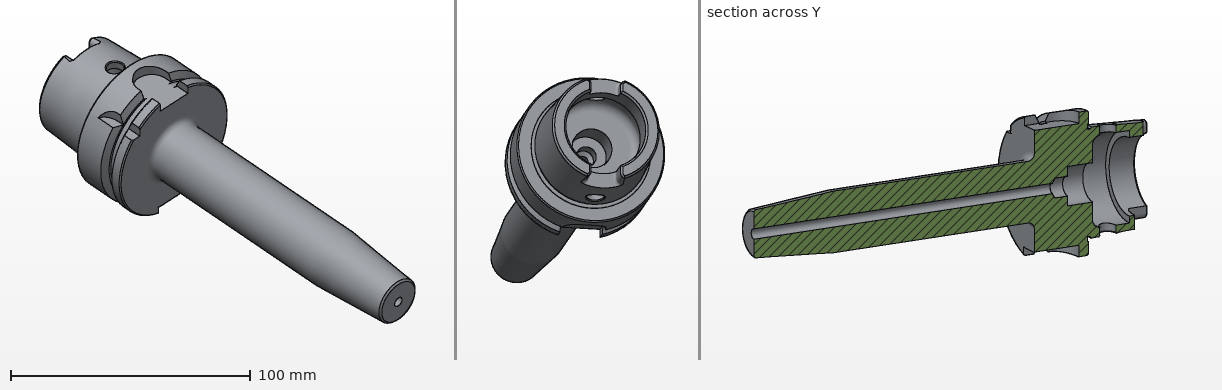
import cadquery as cq
import math


taper_length = 32.0
flange_width = 26.0
nose_end = 160.0

taper_ratio = 0.05
gauge_radius = 48.04 / 2
gauge_x = -6.3
taper_start = -2.4
tip_chamfer_length = 1.0
tip_chamfer_height = 0.8
relief_radius = 23.4
relief_start = -1.3
relief_slope_length = 0.5
face_relief_radius = 25.5
face_relief_depth = 0.3

flange_radius = 63.0 / 2
flange_chamfer = 0.6
groove_centre = 17.75
groove_top_half = 3.35
groove_floor_half = 1.6
groove_wall_radius = 28.3
groove_floor_radius = 27.3

shank_radius = 27.0 / 2
shank_fillet = 2.9
nose_start = 122.0
nose_tip_radius = 21.0 / 2
nose_tip_chamfer = 0.8

bore_radius = 34.0 / 2
bore_chamfer = 0.9
bore_depth = 12.6
cavity_radius = 40.0 / 2
cavity_floor = -2.0
cavity_floor_fillet = 4.0
seat_radius = 16.92 / 2
seat_depth = 12.0
pilot_radius = 8.4 / 2
pilot_depth = 6.0
coolant_radius = 4.3 / 2
drill_half_angle = math.radians(59)

access_hole_x = -9.2
access_hole_diameter = 7.5
access_hole_mouth = 8.4

drive_slot_width = 12.54
upper_slot_depth = 5.8
lower_slot_depth = 10.0
slot_floor_fillet = 1.3
slot_mouth_fillet = 2.3
slot_end_chamfer = 0.8
chamfer_angle = 45

upper_keyway_width = 16.0
lower_keyway_width = 18.0
keyway_end_x = 4.7
keyway_floor = 26.5
notch_offset = 20.0
notch_end_x = 4.7
notch_end_radius = 8.0


def taper_radius(x):
    """Radius of the hollow taper at station x."""
    return gauge_radius + taper_ratio * (x - gauge_x)


def turn_to_side(cutter, side):
    """Turn a cutter made on +Z about the axis; side is +1 for +Z and -1 for -Z."""
    return cutter.rotate((0, 0, 0), (1, 0, 0), 0 if side > 0 else 180)


def outer_body():
    """Revolved outside: taper, relief, grooved flange, shank and nose."""
    tip_chamfer_x = -taper_length + tip_chamfer_length
    nose_chamfer_x = nose_end - nose_tip_chamfer
    nose_slope = (shank_radius - nose_tip_radius) / (nose_end - nose_start)
    nose_chamfer_radius = nose_tip_radius + nose_slope * nose_tip_chamfer
    fillet_foot = flange_width + shank_fillet
    arc_offset = shank_fillet * math.sqrt(0.5)
    profile = (
        cq.Workplane("XY")
        .moveTo(-taper_length, 0)
        .lineTo(-taper_length, taper_radius(tip_chamfer_x) - tip_chamfer_height)
        .lineTo(tip_chamfer_x, taper_radius(tip_chamfer_x))
        .lineTo(taper_start, taper_radius(taper_start))
        .lineTo(relief_start, taper_radius(taper_start))
        .lineTo(relief_start + relief_slope_length, relief_radius)
        .lineTo(face_relief_depth, relief_radius)
        .lineTo(face_relief_depth, face_relief_radius)
        .lineTo(0, face_relief_radius)
        .lineTo(0, flange_radius - flange_chamfer)
        .lineTo(flange_chamfer, flange_radius)
        .lineTo(groove_centre - groove_top_half, flange_radius)
        .lineTo(groove_centre - groove_floor_half, groove_wall_radius)
        .lineTo(groove_centre - groove_floor_half, groove_floor_radius)
        .lineTo(groove_centre + groove_floor_half, groove_floor_radius)
        .lineTo(groove_centre + groove_floor_half, groove_wall_radius)
        .lineTo(groove_centre + groove_top_half, flange_radius)
        .lineTo(flange_width - flange_chamfer, flange_radius)
        .lineTo(flange_width, flange_radius - flange_chamfer)
        .lineTo(flange_width, shank_radius + shank_fillet)
        .threePointArc(
            (fillet_foot - arc_offset, shank_radius + shank_fillet - arc_offset),
            (fillet_foot, shank_radius),
        )
        .lineTo(nose_start, shank_radius)
        .lineTo(nose_chamfer_x, nose_chamfer_radius)
        .lineTo(nose_end, nose_tip_radius - nose_tip_chamfer)
        .lineTo(nose_end, 0)
        .close()
    )
    return profile.revolve(360, (0, 0, 0), (1, 0, 0))


def clamping_bore():
    """Stepped bore: mouth, undercut cavity, tube seat, pilot and coolant hole."""
    bore_end = -taper_length + bore_depth
    seat_end = cavity_floor + seat_depth
    pilot_end = seat_end + pilot_depth
    drill_tip = pilot_end + (pilot_radius - coolant_radius) / math.tan(drill_half_angle)
    arc_offset = cavity_floor_fillet * math.sqrt(0.5)
    arc_x = cavity_floor - cavity_floor_fillet
    arc_r = cavity_radius - cavity_floor_fillet
    profile = (
        cq.Workplane("XY")
        .moveTo(-taper_length, 0)
        .lineTo(-taper_length, bore_radius + bore_chamfer)
        .lineTo(-taper_length + bore_chamfer, bore_radius)
        .lineTo(bore_end, bore_radius)
        .lineTo(bore_end, cavity_radius)
        .lineTo(arc_x, cavity_radius)
        .threePointArc((arc_x + arc_offset, arc_r + arc_offset), (cavity_floor, arc_r))
        .lineTo(cavity_floor, seat_radius)
        .lineTo(seat_end, seat_radius)
        .lineTo(seat_end, pilot_radius)
        .lineTo(pilot_end, pilot_radius)
        .lineTo(drill_tip, coolant_radius)
        .lineTo(nose_end, coolant_radius)
        .lineTo(nose_end, 0)
        .close()
    )
    return profile.revolve(360, (0, 0, 0), (1, 0, 0))


def drive_slot(depth, side):
    """Slot across one taper wall, flared tangentially into the taper surface."""
    half_width = drive_slot_width / 2
    floor_x = -taper_length + depth
    surface = taper_radius(floor_x)

    arc_y = half_width + slot_mouth_fillet
    arc_z = math.sqrt((surface - slot_mouth_fillet) ** 2 - arc_y**2)
    to_surface = surface / (surface - slot_mouth_fillet)
    tangent = (arc_y * to_surface, arc_z * to_surface)

    bottom_z = bore_radius / 2
    top_z = flange_radius

    def section(x):
        return (
            cq.Workplane("YZ", origin=(x, 0, 0))
            .moveTo(-half_width, bottom_z)
            .lineTo(half_width, bottom_z)
            .lineTo(half_width, arc_z)
            .radiusArc(tangent, slot_mouth_fillet)
            .lineTo(tangent[0], top_z)
            .lineTo(-tangent[0], top_z)
            .lineTo(-tangent[0], tangent[1])
            .radiusArc((-half_width, arc_z), slot_mouth_fillet)
            .close()
        )

    slot = section(floor_x).extrude(-2 * depth).faces(">X").edges().fillet(slot_floor_fillet)
    chamfer_base = section(-taper_length + slot_end_chamfer)
    end_chamfer = chamfer_base.extrude(-2 * slot_end_chamfer, taper=-chamfer_angle)
    return turn_to_side(slot.union(end_chamfer), side)


def cross_hole():
    """Radial hole straight through both walls of the taper."""
    hole = cq.Workplane("XY").circle(access_hole_diameter / 2).extrude(flange_radius, both=True)
    return hole.translate((access_hole_x, 0, 0))


def chamfer_hole_mouths(body):
    """Chamfer the edges where the cross hole breaks out of the taper."""
    chamfer = (access_hole_mouth - access_hole_diameter) / 2
    half_box = access_hole_mouth / 2
    mid_wall = (cavity_radius + taper_radius(access_hole_x)) / 2
    for side in (1, -1):
        mouth = cq.selectors.BoxSelector(
            (access_hole_x - half_box, -half_box, side * mid_wall),
            (access_hole_x + half_box, half_box, side * flange_radius),
        )
        body = body.edges(mouth).chamfer(chamfer)
    return body


def keyway(width, side):
    """Round-ended flat keyway, open towards the shank."""
    end_radius = width / 2
    arc_x = keyway_end_x + end_radius
    slot = (
        cq.Workplane("XY")
        .moveTo(flange_width, -end_radius)
        .lineTo(arc_x, -end_radius)
        .threePointArc((keyway_end_x, 0), (arc_x, end_radius))
        .lineTo(flange_width, end_radius)
        .close()
        .extrude(flange_radius - keyway_floor)
        .translate((0, 0, keyway_floor))
    )
    return turn_to_side(slot, side)


def orientation_notch():
    """Square-cornered notch between -Y and +Z with a curved run-out."""
    arc_x = notch_end_x + notch_end_radius
    arc_y = -notch_offset - notch_end_radius
    return (
        cq.Workplane("XY")
        .moveTo(flange_width, -notch_offset)
        .lineTo(arc_x, -notch_offset)
        .radiusArc((notch_end_x, arc_y), -notch_end_radius)
        .lineTo(flange_width, arc_y)
        .close()
        .extrude(flange_radius - notch_offset)
        .translate((0, 0, notch_offset))
    )


body = outer_body().cut(clamping_bore()).cut(cross_hole())
body = chamfer_hole_mouths(body)
for slot_depth, keyway_width, side in (
    (upper_slot_depth, upper_keyway_width, 1),
    (lower_slot_depth, lower_keyway_width, -1),
):
    body = body.cut(drive_slot(slot_depth, side))
    body = body.cut(keyway(keyway_width, side))

result = body.cut(orientation_notch())